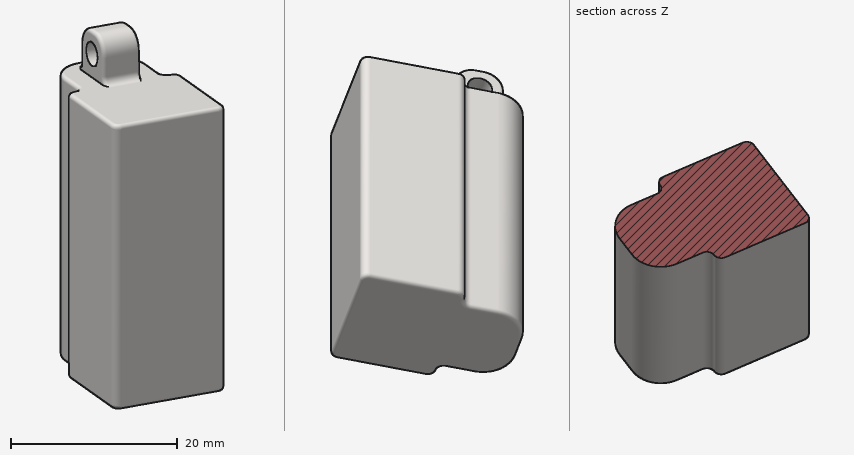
import cadquery as cq
import math

length = 21.5
width = 15.0
height = 42.5
edge_radius = 0.5

body_height = 36.5
lobe_width = 11.0
lobe_radius = 4.0
shoulder_x = 8.5

lug_x = 5.5
lug_width = 6.0
lug_thickness = 5.0
lug_radius = 2.5
hole_diameter = 3.0
hole_height = lug_width / 2

blend_radius = (width - lobe_width) / 4
flare_radius = blend_radius

left = -length / 2
right = length / 2
lug_center_x = left + lug_x
overlap = 0.42


def make_body():
    """Extrude the stepped outline and round its top and bottom edges."""
    diagonal = math.sqrt(0.5)
    step_x = left + shoulder_x
    lobe_y = lobe_width / 2
    block_y = width / 2
    middle_y = lobe_y + blend_radius
    inner_x = step_x - blend_radius
    outer_x = step_x + blend_radius
    bulge = blend_radius * diagonal

    half = (
        cq.Workplane("XY")
        .moveTo(inner_x, 0)
        .lineTo(inner_x, lobe_y)
        .threePointArc((inner_x + bulge, middle_y - bulge), (step_x, middle_y))
        .threePointArc((outer_x - bulge, middle_y + bulge), (outer_x, block_y))
        .lineTo(right, block_y)
        .lineTo(right, 0)
        .close()
        .extrude(body_height)
    )
    block = half.union(half.mirror("XZ")).edges("|Z and >X").fillet(blend_radius)
    lobe_length = shoulder_x - blend_radius + overlap
    lobe = (
        cq.Workplane("XY")
        .box(lobe_length, lobe_width, body_height, centered=(False, True, False))
        .translate((left, 0, 0))
        .edges("|Z and <X")
        .fillet(lobe_radius)
    )
    return block.union(lobe).clean().faces("<Z or >Z").edges().fillet(edge_radius)


def make_lug_head():
    """Round-topped upright part of the lug, above the flared foot."""
    foot_top = body_height + flare_radius
    return (
        cq.Workplane("XY")
        .box(lug_width, lug_thickness, height - foot_top, centered=(True, True, False))
        .translate((lug_center_x, 0, foot_top))
        .edges("|Y and >Z")
        .fillet(lug_radius)
        .faces("<Y or >Y")
        .edges("not <Z")
        .fillet(edge_radius)
    )


def make_flare_cutter(side):
    """Spool about the flare's axis, widening at its ends to round the foot's edges."""
    half_thickness = lug_thickness / 2
    round_start = half_thickness - edge_radius
    end_radius = flare_radius + edge_radius
    bulge_inset = edge_radius * (1 - math.sqrt(0.5))
    arc_middle_radius = flare_radius + bulge_inset
    arc_middle_y = half_thickness - bulge_inset
    return (
        cq.Workplane("XY")
        .lineTo(0, -half_thickness)
        .lineTo(end_radius, -half_thickness)
        .threePointArc((arc_middle_radius, -arc_middle_y), (flare_radius, -round_start))
        .lineTo(flare_radius, round_start)
        .threePointArc((arc_middle_radius, arc_middle_y), (end_radius, half_thickness))
        .lineTo(0, half_thickness)
        .close()
        .revolve(360, (0, 0, 0), (0, 1, 0))
        .translate((
            lug_center_x + side * (lug_width / 2 + flare_radius),
            0,
            body_height + flare_radius,
        ))
    )


def make_lug_foot():
    """Foot that flares out along X where the lug meets the body."""
    foot = (
        cq.Workplane("XY")
        .box(lug_width + 2 * flare_radius, lug_thickness, flare_radius, centered=(True, True, False))
        .translate((lug_center_x, 0, body_height))
    )
    for side in (-1, 1):
        foot = foot.cut(make_flare_cutter(side))
    return foot


hole = (
    cq.Workplane("XZ")
    .center(lug_center_x, body_height + hole_height)
    .circle(hole_diameter / 2)
    .extrude(width / 2, both=True)
)

result = make_body().union(make_lug_foot()).union(make_lug_head()).cut(hole)